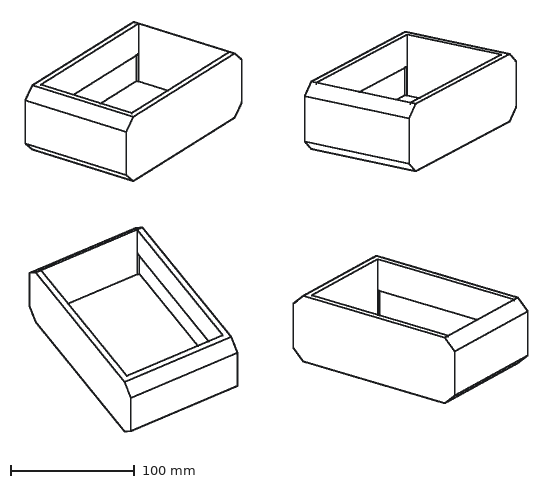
import cadquery as cq

width = 100.0
length = 162.0
height = 58.0
chamfer_run = 10.0
chamfer_rise = 9.5

wall = 5.0
floor = 5.7
cavity_width = width - 2 * wall
cavity_front = -length / 2 + chamfer_run + wall
cavity_back = length / 2 - chamfer_run
cavity_length = cavity_back - cavity_front

recess_depth = 2.0
recess_end_gap = 0.5
recess_top = 30.5
recess_length = cavity_length - 2 * recess_end_gap


def make_body():
    """Octagonal side profile, extruded across the width."""
    half_length = length / 2
    flat_half = half_length - chamfer_run
    profile = [
        (-flat_half, 0),
        (flat_half, 0),
        (half_length, chamfer_rise),
        (half_length, height - chamfer_rise),
        (flat_half, height),
        (-flat_half, height),
        (-half_length, height - chamfer_rise),
        (-half_length, chamfer_rise),
    ]
    return cq.Workplane("YZ").polyline(profile).close().extrude(width / 2, both=True)


def make_pocket(pocket_width, pocket_length, top):
    """Block centred in the cavity, rising from the floor to the given height."""
    return (
        cq.Workplane("XY")
        .workplane(offset=floor)
        .center(0, (cavity_front + cavity_back) / 2)
        .rect(pocket_width, pocket_length)
        .extrude(top - floor)
    )


cavity = make_pocket(cavity_width, cavity_length, height)
side_recesses = make_pocket(cavity_width + 2 * recess_depth, recess_length, recess_top)

result = make_body().cut(cavity).cut(side_recesses)